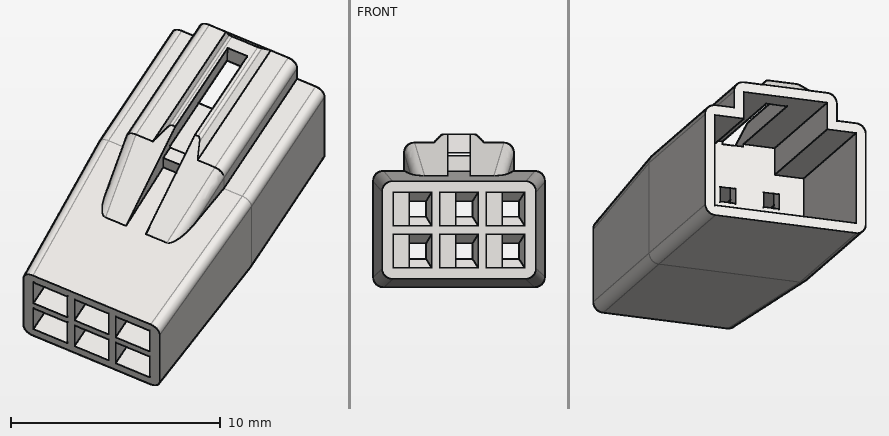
import cadquery as cq
import math

length = 16.05
body_width = 8.2
total_height = 7.3
body_height = 5.55
corner_radius = 0.5
wall = 0.5

taper_length = 8.55
side_taper = 0.43
top_taper = 0.5
bottom_taper = 0.4

rail_width = 5.25
ridge_height = 0.4
rail_top = total_height - ridge_height
ridge_base_width = 2.4
ridge_edge_radius = 0.25
rail_root = 4.73
ramp_length = 4.17
ramp_drop = ramp_length * math.tan(math.radians(21.5))
ramp_narrowing = ramp_length * math.tan(math.radians(6.8))

slot_width = 1.06
bridge_length = 1.1
bridge_lean = 0.08

partition_thickness = 0.7
partition_front = 8.35
socket_front = partition_front + partition_thickness
step_top = 6.28

cell_columns = 3
cell_rows = 2
cell_width = 1.83
cell_height = 1.6
cell_pitch_x = 2.21
cell_pitch_z = 2.0
cells_center_z = 2.73
ledge_width = 0.77
window_width = 0.79
window_height = 0.74


def box(x_min, x_max, y_min, y_max, z_min, z_max):
    """Block given by its limits along each axis."""
    return (
        cq.Workplane("XY")
        .box(x_max - x_min, y_max - y_min, z_max - z_min, centered=False)
        .translate((x_min, y_min, z_min))
    )


def centered_box(width, y_min, y_max, z_min, z_max):
    """Block that is symmetric about the X = 0 plane."""
    return box(-width / 2, width / 2, y_min, y_max, z_min, z_max)


def section_plane(y):
    """Cross-section plane at the given Y, with local axes X and Z, facing the front."""
    return cq.Workplane("XZ", origin=(0, y, 0))


def rounded_rectangle(width, height, center=(0, 0, 0)):
    """Housing outline with rounded corners."""
    outline = cq.Sketch().rect(width, height).vertices().fillet(corner_radius)
    return outline.moved(cq.Location(cq.Vector(*center)))


def extrude_rail_half(direction):
    """Left half of the rail outline, rounded at its upper corner, swept along a straight direction."""
    half = rail_width / 2
    bend = corner_radius * (1 - math.sqrt(0.5))
    outline = (
        section_plane(taper_length)
        .moveTo(0, rail_root)
        .lineTo(-half, rail_root)
        .lineTo(-half, rail_top - corner_radius)
        .threePointArc((-half + bend, rail_top - bend), (-half + corner_radius, rail_top))
        .lineTo(0, rail_top)
        .close()
    )
    return cq.Workplane(cq.Solid.extrudeLinear(outline.val(), [], cq.Vector(*direction)))


def make_body():
    """Straight rear portion and a tapered front portion, sharing one outline where they meet."""
    rear_outline = rounded_rectangle(body_width, body_height)
    front_outline = rounded_rectangle(
        body_width - 2 * side_taper,
        body_height - top_taper - bottom_taper,
        center=(0, (bottom_taper - top_taper) / 2, taper_length),
    )
    meeting_plane = section_plane(taper_length).center(0, body_height / 2)
    straight = meeting_plane.placeSketch(rear_outline).extrude(taper_length - length)
    tapered = meeting_plane.placeSketch(rear_outline, front_outline).loft()
    return straight.union(tapered)


def make_ridge():
    """Ridge with 45 degree flanks and rear end, cut off in front by the ramp plane."""
    half_base = ridge_base_width / 2
    half_top = half_base - ridge_height
    ridge = (
        section_plane(length)
        .polyline([
            (-half_base, rail_top - wall),
            (-half_base, rail_top),
            (-half_top, total_height),
            (half_top, total_height),
            (half_base, rail_top),
            (half_base, rail_top - wall),
        ])
        .close()
        .extrude(length - taper_length)
        .edges(cq.selectors.BoxSelector(
            (-half_base, taper_length, total_height - 0.02),
            (half_base, length, total_height + 0.02),
        ))
        .edges("|Y")
        .fillet(ridge_edge_radius)
    )
    rear_cut = (
        cq.Workplane("YZ")
        .polyline([
            (length, rail_top),
            (length, total_height),
            (length - ridge_height, total_height),
        ])
        .close()
        .extrude(half_base, both=True)
    )
    ramp_run = ridge_height * ramp_length / ramp_drop
    ramp_cut = (
        cq.Workplane("YZ")
        .polyline([
            (taper_length, rail_top),
            (taper_length, total_height),
            (taper_length + ramp_run, total_height),
        ])
        .close()
        .extrude(half_base, both=True)
    )
    return ridge.cut(rear_cut).cut(ramp_cut)


def make_slot():
    """Vertical slot whose rear end leans towards the front at its bottom."""
    return (
        cq.Workplane("YZ")
        .polyline([
            (0, 0),
            (length - bridge_length - bridge_lean, 0),
            (length - bridge_length - bridge_lean, rail_top - wall),
            (length - bridge_length, total_height),
            (0, total_height),
        ])
        .close()
        .extrude(slot_width / 2, both=True)
    )


def make_rail():
    straight = extrude_rail_half((0, length - taper_length, 0))
    ramp = extrude_rail_half((ramp_narrowing, -ramp_length, -ramp_drop))
    left_half = straight.union(ramp)
    rail = left_half.union(left_half.mirror("YZ")).union(make_ridge())
    step = centered_box(slot_width, partition_front, socket_front, rail_root, step_top)
    return rail.cut(make_slot()).union(step)


def make_socket():
    """Open rear cavity with a raised keyway under the rail."""
    cavity = centered_box(body_width - 2 * wall, socket_front, length, wall, body_height - wall)
    keyway = centered_box(rail_width - 2 * wall, socket_front, length, wall, rail_top - wall)
    return cavity.union(keyway)


def make_slot_opening():
    """Break through the body top behind the partition, below the slot."""
    return make_slot().intersect(centered_box(slot_width, socket_front, length, wall, total_height))


def make_cell(center_x, center_z):
    """Front cell with a window that narrows on three sides through the partition."""
    x_min = center_x - cell_width / 2
    z_min = center_z - cell_height / 2
    cell = box(x_min, x_min + cell_width, 0, partition_front, z_min, z_min + cell_height)
    window_left = x_min + ledge_width
    mouth_width = cell_width - ledge_width
    window = (
        section_plane(partition_front)
        .center(window_left + mouth_width / 2, center_z)
        .rect(mouth_width, cell_height)
        .workplane(offset=-partition_thickness)
        .center((window_width - mouth_width) / 2, 0)
        .rect(window_width, window_height)
        .loft(ruled=True)
    )
    return cell.union(window)


result = make_body().union(make_rail()).cut(make_socket()).cut(make_slot_opening())
for column in range(cell_columns):
    for row in range(cell_rows):
        cell_x = (column - (cell_columns - 1) / 2) * cell_pitch_x
        cell_z = cells_center_z + (row - (cell_rows - 1) / 2) * cell_pitch_z
        result = result.cut(make_cell(cell_x, cell_z))